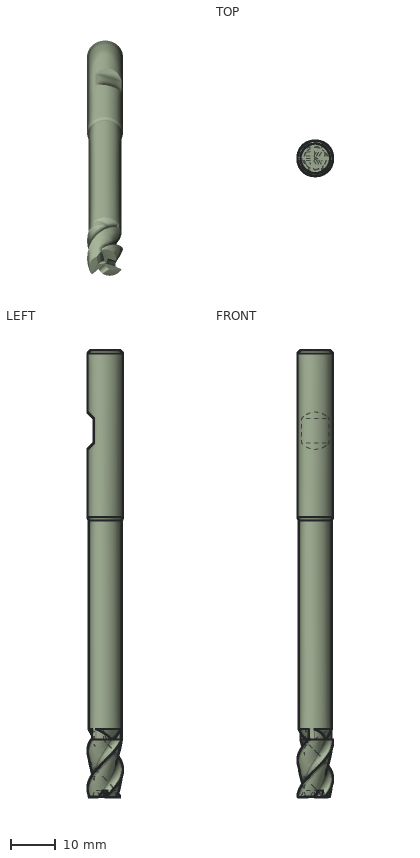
import cadquery as cq
import math

total_length = 100.0
tool_diameter = 8.0
tool_radius = tool_diameter / 2

clamp_length = 37.3
neck_radius = 3.7
shoulder_length = 0.8
top_chamfer = 0.7

flat_depth = 1.4
flat_length = 5.5
flat_center_from_top = 18.0

cut_length = 13.0
flute_count = 3
flute_pitch_angle = 360 / flute_count
helix_lead = 25.0
first_tooth_angle = 180.0
corner_chamfer = 0.3

land_angle = 10.0
land_end_radius = 3.8
back_middle_angle = 50.0
back_middle_radius = 3.2
flute_root_angle = 34.0
flute_root_radius = 2.5
rake_middle_angle = 8.0
rake_middle_radius = 2.8
rake_land_angle = 1.0
rake_land_radius = 3.6

runout_length = 2.3
runout_start_radius = 2.5

dish_depth = 0.2
gash_depth = 1.6
gash_width = 1.6
gash_roof_width = 1.0
gash_rake_offset = 0.5
gash_inner_radius = 0.2
end_relief_angle = 5.0


def polar(radius, angle):
    """Point at a radius and an angle in degrees."""
    return radius * math.cos(math.radians(angle)), radius * math.sin(math.radians(angle))


def tooth_angle(index, z=0.0):
    """Angle of a cutting edge at height z on the right-hand helix."""
    return first_tooth_angle + index * flute_pitch_angle + 360 * z / helix_lead


def tooth_section(z_start):
    """Closed outline of the teeth and flutes at height z_start."""
    section = cq.Workplane("XY", origin=(0, 0, z_start)).moveTo(
        *polar(tool_radius, tooth_angle(0, z_start))
    )
    for index in range(flute_count):
        edge = tooth_angle(index, z_start)
        next_edge = edge + flute_pitch_angle
        section = section.lineTo(*polar(land_end_radius, edge + land_angle))
        section = section.threePointArc(
            polar(back_middle_radius, edge + back_middle_angle),
            polar(flute_root_radius, next_edge - flute_root_angle),
        )
        section = section.threePointArc(
            polar(rake_middle_radius, next_edge - rake_middle_angle),
            polar(rake_land_radius, next_edge - rake_land_angle),
        )
        section = section.lineTo(*polar(tool_radius, next_edge))
    return section.close()


def end_prism(profile, x_start, angle):
    """Prism with a tangential-vertical profile, running radially outward from x_start."""
    prism = cq.Workplane("YZ", origin=(x_start, 0, 0)).polyline(profile).close().extrude(tool_diameter)
    return prism.rotate((0, 0, 0), (0, 0, 1), angle)


def make_cutting_head():
    envelope = cq.Workplane("XY").circle(tool_radius).extrude(cut_length)
    envelope = envelope.faces("<Z").chamfer(corner_chamfer)
    head = tooth_section(0).twistExtrude(cut_length, 360 * cut_length / helix_lead)
    head = head.intersect(envelope)

    dish = cq.Solid.makeCone(tool_radius - corner_chamfer, 0, dish_depth)
    head = head.cut(cq.Workplane(dish))

    gash_profile = [
        (0, 0),
        (gash_rake_offset, gash_depth),
        (gash_rake_offset - gash_roof_width, gash_depth),
        (-gash_width, 0),
    ]
    relief_rise = tool_diameter * math.tan(math.radians(end_relief_angle))
    relief_profile = [(0, 0), (tool_diameter, 0), (tool_diameter, relief_rise)]
    for index in range(flute_count):
        head = head.cut(end_prism(gash_profile, gash_inner_radius, tooth_angle(index)))
        head = head.cut(end_prism(relief_profile, 0, tooth_angle(index)))
    return head


def make_runout():
    """Straight flute ends whose floors rise along a cone to the neck surface."""
    blank = cq.Workplane("XY", origin=(0, 0, cut_length)).circle(tool_radius).extrude(runout_length)
    cone = cq.Workplane(
        cq.Solid.makeCone(
            runout_start_radius, neck_radius, runout_length, pnt=cq.Vector(0, 0, cut_length)
        )
    )
    return blank.cut(cone).cut(tooth_section(cut_length).extrude(runout_length))


def make_clamping_flat():
    """Trapezoidal notch with 45 degree ends, running through along X."""
    middle_z = total_length - flat_center_from_top
    half_floor = flat_length / 2
    half_mouth = half_floor + flat_depth
    floor_y = tool_radius - flat_depth
    notch = cq.Workplane("YZ").polyline([
        (floor_y, middle_z - half_floor),
        (tool_radius, middle_z - half_mouth),
        (tool_radius, middle_z + half_mouth),
        (floor_y, middle_z + half_floor),
    ])
    return notch.close().extrude(tool_radius, both=True)


def make_shank():
    clamp_bottom = total_length - clamp_length
    outline = cq.Workplane("YZ").polyline([
        (0, cut_length),
        (-neck_radius, cut_length),
        (-neck_radius, clamp_bottom - shoulder_length),
        (-tool_radius, clamp_bottom),
        (-tool_radius, total_length - top_chamfer),
        (-tool_radius + top_chamfer, total_length),
        (0, total_length),
    ])
    shank = outline.close().revolve(360, (0, 0, 0), (0, 1, 0))
    return shank.cut(make_clamping_flat()).cut(make_runout())


shank = make_shank()
cutting_head = make_cutting_head()

result = cq.Compound.makeCompound([shank.solids().val(), cutting_head.solids().val()])